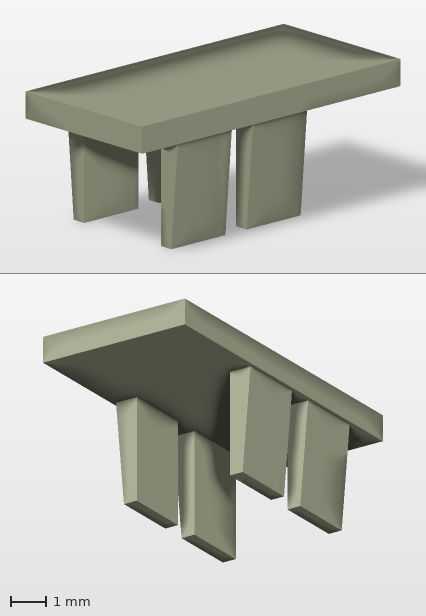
import cadquery as cq

plate_width = 4.85
plate_length = 10.0
plate_thickness = 0.8

leg_height = 3.2
leg_inner_x = 1.59
leg_root_thickness = 0.71
leg_foot_thickness = 0.44
leg_length = 2.09
leg_gap = 0.82
front_leg_start_y = -3.5
leg_starts_y = (front_leg_start_y, front_leg_start_y + leg_length + leg_gap)


def make_leg(start_y):
    """Tapered leg on the +X side, running from start_y towards +Y."""
    return (
        cq.Workplane("XZ", origin=(0, start_y, 0))
        .moveTo(leg_inner_x, plate_thickness / 2)
        .lineTo(leg_inner_x, -leg_height)
        .lineTo(leg_inner_x + leg_foot_thickness, -leg_height)
        .lineTo(leg_inner_x + leg_root_thickness, 0)
        .lineTo(leg_inner_x + leg_root_thickness, plate_thickness / 2)
        .close()
        .extrude(-leg_length)
    )


result = cq.Workplane("XY").box(
    plate_width, plate_length, plate_thickness, centered=(True, True, False)
)

for start_y in leg_starts_y:
    leg = make_leg(start_y)
    result = result.union(leg).union(leg.mirror("YZ"))